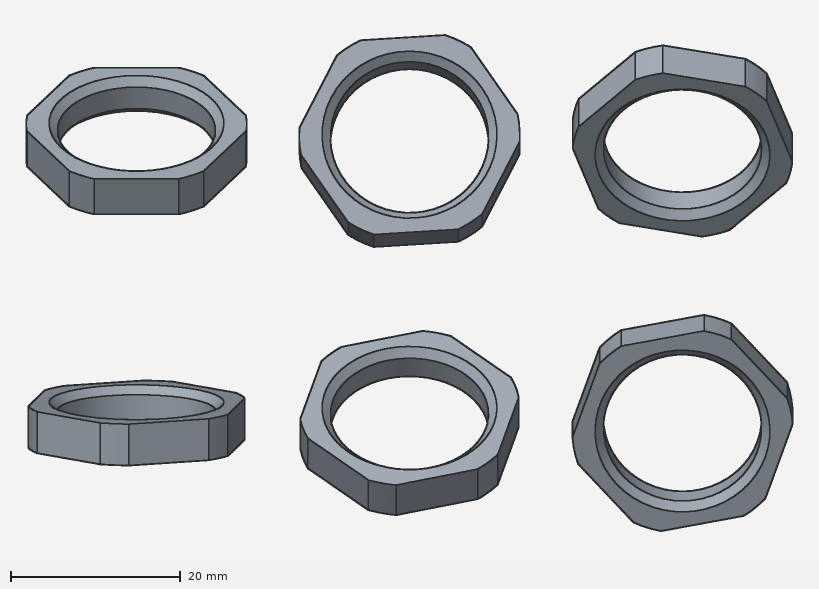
import cadquery as cq
import math

across_flats = 24.0
corner_diameter = 25.98
thickness = 5.0
bore_diameter = 18.6
chamfer = 1.0


def hexagonal_body():
    """Hexagonal prism with corners on the Y axis, rounded by a coaxial cylinder."""
    sharp_corner_diameter = across_flats / math.cos(math.radians(30))
    hexagon = (
        cq.Workplane("XY")
        .transformed(rotate=(0, 0, 90))
        .polygon(6, sharp_corner_diameter)
        .extrude(thickness)
    )
    corner_cylinder = cq.Workplane("XY").circle(corner_diameter / 2).extrude(thickness)
    return hexagon.intersect(corner_cylinder)


def chamfered_bore():
    """Through bore that widens at 45 degrees toward both end faces."""
    bore_radius = bore_diameter / 2
    mouth_radius = bore_radius + chamfer
    return (
        cq.Workplane("XZ")
        .moveTo(0, 0)
        .lineTo(mouth_radius, 0)
        .lineTo(bore_radius, chamfer)
        .lineTo(bore_radius, thickness - chamfer)
        .lineTo(mouth_radius, thickness)
        .lineTo(0, thickness)
        .close()
        .revolve(360, (0, 0, 0), (0, 1, 0))
    )


result = hexagonal_body().cut(chamfered_bore())